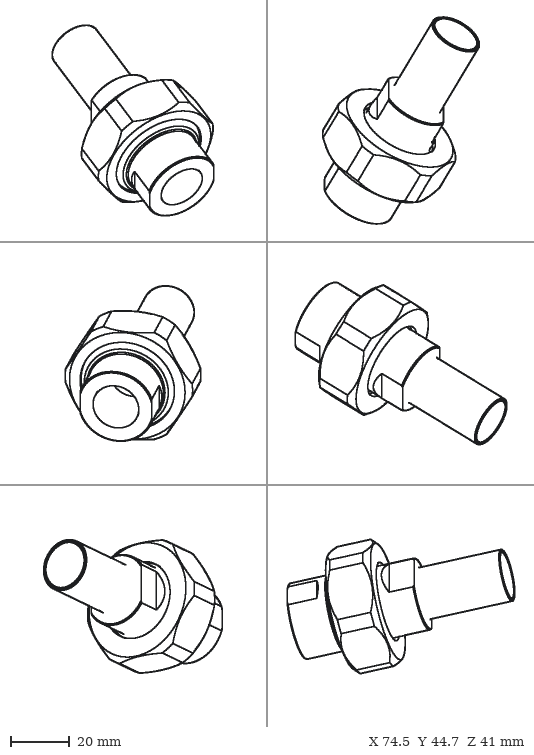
import cadquery as cq
import math

LENGTH = 74.5
BORE_RADIUS = 16.0 / 2

PIPE_RADIUS = 18.0 / 2
PIPE_CHAMFER = 0.3
PIPE_BORE_CHAMFER = 0.2
COLLAR_START = 30.0
COLLAR_RADIUS = 25.0 / 2
COLLAR_CHAMFER = 0.4
COLLAR_FILLET = 0.8
TAIL_FLANGE_RADIUS = 30.3 / 2
COLLAR_FLAT_OFFSET = 10.4
COLLAR_FLAT_END = 38.9

NUT_START = 42.5
NUT_WIDTH = 16.0
NUT_END = NUT_START + NUT_WIDTH
NUT_ACROSS_FLATS = 41.0
NUT_CORNER_RADIUS = 44.7 / 2
NUT_CHAMFER = 2.1
NUT_LIP = 2.2
NUT_LIP_RADIUS = 27.3 / 2
NUT_BORE_RADIUS = 33.1 / 2

LIP_END = NUT_START + NUT_LIP
JOINT = LIP_END + 5.95

DOME_START = 57.0
DOME_MIDDLE = (58.8, 15.8)
DOME_END = (60.0, 29.5 / 2)
NECK_START = (60.4, 13.7)
SLEEVE_START = 60.9
SLEEVE_RADIUS = 26.5 / 2
SLEEVE_CHAMFER = 0.4
SLEEVE_FLAT_OFFSET = 12.5
SLEEVE_FLAT_START = 64.0


def revolve_about_x(profile):
    return profile.close().revolve(360, (0, 0, 0), (1, 0, 0))


def cut_side_flats(body, end, ramp_start, offset, outer_radius):
    """Cut one flat on each Y side, from an end to a ramp that rises at 45 degrees."""
    depth = outer_radius - offset
    ramp_end = ramp_start + math.copysign(depth, ramp_start - end)
    for side in (1, -1):
        cutter = (
            cq.Workplane("XY")
            .moveTo(end, side * offset)
            .lineTo(ramp_start, side * offset)
            .lineTo(ramp_end, side * outer_radius)
            .lineTo(end, side * outer_radius)
            .close()
            .extrude(outer_radius, both=True)
        )
        body = body.cut(cutter)
    return body


def make_tail():
    flange_fillet_start = LIP_END - COLLAR_FILLET
    blend = COLLAR_FILLET * (1 - math.sqrt(0.5))
    profile = (
        cq.Workplane("XY")
        .moveTo(PIPE_BORE_CHAMFER, BORE_RADIUS)
        .lineTo(0, BORE_RADIUS + PIPE_BORE_CHAMFER)
        .lineTo(0, PIPE_RADIUS - PIPE_CHAMFER)
        .lineTo(PIPE_CHAMFER, PIPE_RADIUS)
        .lineTo(COLLAR_START - COLLAR_FILLET, PIPE_RADIUS)
        .threePointArc(
            (COLLAR_START - blend, PIPE_RADIUS + blend),
            (COLLAR_START, PIPE_RADIUS + COLLAR_FILLET),
        )
        .lineTo(COLLAR_START, COLLAR_RADIUS - COLLAR_CHAMFER)
        .lineTo(COLLAR_START + COLLAR_CHAMFER, COLLAR_RADIUS)
        .lineTo(flange_fillet_start, COLLAR_RADIUS)
        .threePointArc(
            (LIP_END - blend, COLLAR_RADIUS + blend),
            (LIP_END, COLLAR_RADIUS + COLLAR_FILLET),
        )
        .lineTo(LIP_END, TAIL_FLANGE_RADIUS)
        .lineTo(JOINT, TAIL_FLANGE_RADIUS)
        .lineTo(JOINT, BORE_RADIUS)
    )
    tail = revolve_about_x(profile)
    return cut_side_flats(tail, COLLAR_START, COLLAR_FLAT_END, COLLAR_FLAT_OFFSET, COLLAR_RADIUS)


def make_nut():
    across_corners = NUT_ACROSS_FLATS / math.cos(math.pi / 6)
    hexagon = (
        cq.Workplane("YZ")
        .workplane(offset=NUT_START)
        .polygon(6, across_corners)
        .extrude(NUT_WIDTH)
    )
    face_radius = NUT_CORNER_RADIUS - NUT_CHAMFER
    profile = (
        cq.Workplane("XY")
        .moveTo(NUT_START, NUT_LIP_RADIUS)
        .lineTo(NUT_START, face_radius)
        .lineTo(NUT_START + NUT_CHAMFER, NUT_CORNER_RADIUS)
        .lineTo(NUT_END - NUT_CHAMFER, NUT_CORNER_RADIUS)
        .lineTo(NUT_END, face_radius)
        .lineTo(NUT_END, NUT_BORE_RADIUS)
        .lineTo(LIP_END, NUT_BORE_RADIUS)
        .lineTo(LIP_END, NUT_LIP_RADIUS)
    )
    return hexagon.intersect(revolve_about_x(profile))


def make_socket():
    profile = (
        cq.Workplane("XY")
        .moveTo(JOINT, BORE_RADIUS)
        .lineTo(JOINT, NUT_BORE_RADIUS)
        .lineTo(DOME_START, NUT_BORE_RADIUS)
        .threePointArc(DOME_MIDDLE, DOME_END)
        .lineTo(*NECK_START)
        .lineTo(SLEEVE_START, SLEEVE_RADIUS)
        .lineTo(LENGTH - SLEEVE_CHAMFER, SLEEVE_RADIUS)
        .lineTo(LENGTH, SLEEVE_RADIUS - SLEEVE_CHAMFER)
        .lineTo(LENGTH, BORE_RADIUS)
    )
    socket = revolve_about_x(profile)
    return cut_side_flats(socket, LENGTH, SLEEVE_FLAT_START, SLEEVE_FLAT_OFFSET, SLEEVE_RADIUS)


tail = make_tail()
nut = make_nut()
socket = make_socket()

result = cq.Compound.makeCompound([body.solids().val() for body in (tail, nut, socket)])